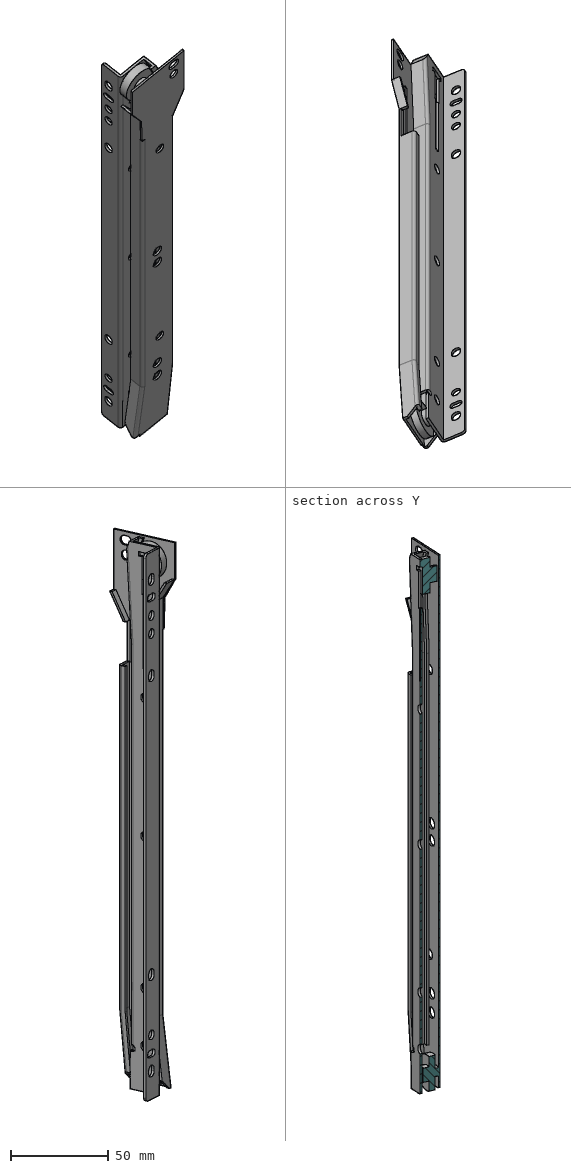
import cadquery as cq

LENGTH = 300.0
SHEET = 1.5
BEND_RADIUS = 1.8
ROLLER_RADIUS = 20.0 / 2
HUB_DIAMETER = 9.0

LEDGE_Y = 2.0
LEDGE_CORNER = 2.0
LEDGE_HOLE_X = 5.0
LEDGE_HOLE_DIAMETER = 5.0
LEDGE_SLOT_LENGTH = 6.3
LEDGE_CROSS_SLOT_LENGTH = 7.0
LEDGE_CROSS_SLOT_WIDTH = 4.0
LEDGE_UPRIGHT_SLOTS_Z = (285.0, 232.2, 68.5, 15.5)
LEDGE_CROSS_SLOTS_Z = (275.0, 25.2)
LEDGE_ROUND_HOLES_Z = (265.2, 255.3, 35.5)

WALL_X = 12.3
WALL_BACK_X = WALL_X + SHEET
WALL_TOP_Y = 20.0
WALL_RAISED_Y = 23.0
RISE_START_Z = 244.0
RISE_END_Z = 294.0
WALL_END_Y = 20.7
WALL_HOLE_Y = 10.8
WALL_HOLE_DIAMETER = 5.5
WALL_HOLES_Z = (216.0, 140.0, 57.0, 25.2)

WEB_START_Z = 24.0
WEB_END_X = 21.0
RAIL_DEPTH = 3.5
RELIEF_DIAMETER = 3.5
RELIEF_Y = 19.0
RELIEF_Z = 22.5

KEY_HEAD_LENGTH = 8.5
KEY_HEAD_HEIGHT = 2.5
KEY_HEAD_Z = 294.3
KEY_NECK_WIDTH = 4.2
KEY_NECK_END_Z = 272.5
GROOVE_END_Z = 232.0
GROOVE_WIDTH = 2.7
GROOVE_DEPTH = 0.5

DRAWER_ROLLER_Y = 11.7
DRAWER_ROLLER_Z = LENGTH - ROLLER_RADIUS
DRAWER_ROLLER_WIDTH = 4.8
DRAWER_HUB_END_X = 22.8

PLATE_BACK_X = 24.5
PLATE_SHEET = 1.2
PLATE_X = PLATE_BACK_X - PLATE_SHEET
PLATE_TOP_Y = 37.8
CABINET_END_Z = 1.0
NEAR_Y = 7.2
FAR_Y = 29.5
FUNNEL_Z = 40.2
NEAR_DROP = 5.0
FAR_DROP = 4.0
NEAR_FLANGE_X = 16.2
FLARE_TOP_Z = 280.0
FLARE_END_Z = 268.5
PLATE_TAPER_END_Z = 251.0
PLATE_TAPER = 0.5
FUNNEL_CUT = 6.5
NEAR_BEND_DEPTH = 2 * SHEET
FAR_FLANGE_X = 15.3
FAR_FLANGE_TOP_Z = 229.5
FAR_LIP_DEPTH = 4.2

TAB_X = 19.8
TAB_TOP_Z = 267.0
TAB_END_Z = 252.0
BEAD_Y = 25.8
BEAD_WIDTH = 2.0
BEAD_HEIGHT = 1.0
BEAD_TOP_Z = 273.0

PLATE_HOLE_Y = 30.3
PLATE_HOLE_Z = 287.0
PLATE_HOLE_DIAMETER = 5.5
PLATE_SLOT_Z = 295.2
PLATE_SLOT_LENGTH = 7.0
PLATE_SLOT_WIDTH = 5.0
RAIL_HOLE_Y = 20.0
RAIL_HOLE_DIAMETER = 5.5
RAIL_HOLES_Z = (232.8, 73.0)
SMALL_HOLE_Y = 18.3
SMALL_HOLE_DIAMETER = 6.0
SMALL_HOLES_Z = (147.0, 137.5, 51.5, 40.8)

CABINET_ROLLER_Y = 13.5
CABINET_ROLLER_Z = ROLLER_RADIUS
CABINET_ROLLER_X = 17.7
CABINET_ROLLER_END_X = 21.5
AXLE_DIAMETER = 6.0
CABINET_HUB_X = 14.0


def plate_yz(points, x_start, x_end):
    """Prism of a (y, z) outline between two X positions."""
    return cq.Workplane("YZ", origin=(x_start, 0, 0)).polyline(points).close().extrude(x_end - x_start)


def strip_yz(path, depth, x_start, x_end):
    """Prism between a (y, z) path and the same path moved by depth along Y."""
    moved = [(y + depth, z) for y, z in reversed(path)]
    return plate_yz(path + moved, x_start, x_end)


def disc(x_start, x_end, y, z, diameter):
    """Cylinder along X."""
    face = cq.Workplane("YZ", origin=(x_start, y, z)).circle(diameter / 2)
    return face.extrude(x_end - x_start)


def box_between(x, y, z):
    """Box from (low, high) pairs along each axis."""
    size = (x[1] - x[0], y[1] - y[0], z[1] - z[0])
    return cq.Workplane().box(*size, centered=False).translate((x[0], y[0], z[0]))


def round_edges(body, x, y, z, radius):
    """Fillet the edges that lie at one X position inside (low, high) ranges of Y and Z."""
    margin = 0.03
    box = cq.selectors.BoxSelector(
        (x - margin, y[0] - margin, z[0] - margin),
        (x + margin, y[1] + margin, z[1] + margin),
        boundingbox=True,
    )
    return body.edges(box).fillet(radius)


def ledge_holes():
    """Cutters for the screw holes and slots of the drawer ledge."""
    def sketch(places):
        return cq.Workplane("XZ").pushPoints([(LEDGE_HOLE_X, z) for z in places])

    depth = -2 * (LEDGE_Y + SHEET)
    upright = sketch(LEDGE_UPRIGHT_SLOTS_Z).slot2D(LEDGE_SLOT_LENGTH, LEDGE_HOLE_DIAMETER, 90).extrude(depth)
    cross = sketch(LEDGE_CROSS_SLOTS_Z).slot2D(LEDGE_CROSS_SLOT_LENGTH, LEDGE_CROSS_SLOT_WIDTH).extrude(depth)
    round_holes = sketch(LEDGE_ROUND_HOLES_Z).circle(LEDGE_HOLE_DIAMETER / 2).extrude(depth)
    return upright.union(cross).union(round_holes)


def keyhole():
    """Cutter for the T-shaped slot and the shallow round groove below it in the drawer wall."""
    through = (WALL_X, WALL_BACK_X)
    head = box_between(
        through,
        (WALL_HOLE_Y - KEY_HEAD_LENGTH / 2, WALL_HOLE_Y + KEY_HEAD_LENGTH / 2),
        (KEY_HEAD_Z - KEY_HEAD_HEIGHT / 2, KEY_HEAD_Z + KEY_HEAD_HEIGHT / 2),
    )
    neck = box_between(
        through,
        (WALL_HOLE_Y - KEY_NECK_WIDTH / 2, WALL_HOLE_Y + KEY_NECK_WIDTH / 2),
        (KEY_NECK_END_Z, KEY_HEAD_Z),
    )
    groove = (
        cq.Workplane("XY", origin=(WALL_X, WALL_HOLE_Y, GROOVE_END_Z))
        .moveTo(0, -GROOVE_WIDTH / 2)
        .threePointArc((GROOVE_DEPTH, 0), (0, GROOVE_WIDTH / 2))
        .close()
        .extrude(KEY_NECK_END_Z - GROOVE_END_Z)
    )
    return head.union(neck).union(groove)


def make_drawer_profile():
    """Ledge, wall, stepped top web with its rail lip, and the rear roller."""
    ledge = box_between((0, WALL_BACK_X), (LEDGE_Y, LEDGE_Y + SHEET), (0, LENGTH))
    ledge = ledge.edges("|Y and <X").fillet(LEDGE_CORNER)

    rise = [(WALL_TOP_Y, RISE_START_Z), (WALL_RAISED_Y, RISE_END_Z)]
    wall_outline = [(LEDGE_Y, 0), (WALL_TOP_Y, 0), *rise, (WALL_END_Y, LENGTH), (LEDGE_Y, LENGTH)]
    wall = plate_yz(wall_outline, WALL_X, WALL_BACK_X)

    web_path = [(WALL_TOP_Y, WEB_START_Z), *rise, (WALL_END_Y, LENGTH)]
    web = strip_yz(web_path, -SHEET, WALL_X, WEB_END_X)
    rail_lip = strip_yz(web_path, -RAIL_DEPTH, WEB_END_X - SHEET, WEB_END_X)

    profile = ledge.union(wall).union(web)
    profile = round_edges(profile, WALL_BACK_X, (LEDGE_Y, LEDGE_Y), (0, LENGTH), BEND_RADIUS)
    web_bend_y = (WALL_TOP_Y, WALL_RAISED_Y)
    profile = round_edges(profile, WALL_X, web_bend_y, (WEB_START_Z, RISE_END_Z), BEND_RADIUS)
    square_foot = box_between((WALL_X, WALL_BACK_X), (LEDGE_Y + SHEET, WALL_TOP_Y), (0, RELIEF_Z))
    profile = profile.union(rail_lip).union(square_foot)
    profile = profile.cut(ledge_holes()).cut(keyhole())
    profile = profile.cut(disc(WALL_X, WALL_BACK_X, RELIEF_Y, RELIEF_Z, RELIEF_DIAMETER))
    for z in WALL_HOLES_Z:
        profile = profile.cut(disc(WALL_X, WALL_BACK_X, WALL_HOLE_Y, z, WALL_HOLE_DIAMETER))

    roller_end_x = WALL_BACK_X + DRAWER_ROLLER_WIDTH
    centre = (DRAWER_ROLLER_Y, DRAWER_ROLLER_Z)
    roller = disc(WALL_BACK_X, roller_end_x, *centre, 2 * ROLLER_RADIUS)
    hub = disc(roller_end_x, DRAWER_HUB_END_X, *centre, HUB_DIAMETER)
    return profile.union(roller).union(hub)


def make_near_flange():
    """Running flange, funnelled at the lower end, rounded into the plate and flared at the top."""
    path = [(NEAR_Y - NEAR_DROP, CABINET_END_Z), (NEAR_Y, FUNNEL_Z), (NEAR_Y, PLATE_TAPER_END_Z)]
    block = strip_yz(path, NEAR_BEND_DEPTH, NEAR_FLANGE_X, PLATE_BACK_X)
    outer_y = (NEAR_Y - NEAR_DROP, NEAR_Y)
    block = round_edges(block, PLATE_BACK_X, outer_y, (CABINET_END_Z, PLATE_TAPER_END_Z), BEND_RADIUS)
    inner_path = [(y + SHEET, z) for y, z in path]
    running = block.cut(strip_yz(inner_path, NEAR_BEND_DEPTH, NEAR_FLANGE_X, PLATE_X))

    flare_path = [(NEAR_Y, PLATE_TAPER_END_Z), (NEAR_Y, FLARE_END_Z), (0, FLARE_TOP_Z)]
    return running.union(strip_yz(flare_path, SHEET, NEAR_FLANGE_X, PLATE_BACK_X))


def make_far_flange():
    """Far flange with a rounded, turned-down lip."""
    path = [(FAR_Y - FAR_DROP, CABINET_END_Z), (FAR_Y, FUNNEL_Z), (FAR_Y, FAR_FLANGE_TOP_Z)]
    block = strip_yz(path, -FAR_LIP_DEPTH, FAR_FLANGE_X, PLATE_BACK_X)
    outer_y = (FAR_Y - FAR_DROP, FAR_Y)
    block = round_edges(block, FAR_FLANGE_X, outer_y, (CABINET_END_Z, FAR_FLANGE_TOP_Z), BEND_RADIUS)
    inner_path = [(y - SHEET, z) for y, z in path]
    return block.cut(strip_yz(inner_path, -FAR_LIP_DEPTH, FAR_FLANGE_X + SHEET, PLATE_X))


def funnel_corner():
    """Cutter that slants off the lower corner of both flanges."""
    corner = [
        (FAR_FLANGE_X, CABINET_END_Z),
        (FAR_FLANGE_X + FUNNEL_CUT, CABINET_END_Z),
        (FAR_FLANGE_X, CABINET_END_Z + FUNNEL_CUT),
    ]
    return cq.Workplane("XZ").polyline(corner).close().extrude(-FAR_Y)


def make_cabinet_profile():
    """Back plate with its two flanges, bent tab, bead and front roller."""
    bend_end_y = NEAR_Y + NEAR_BEND_DEPTH
    outline = [
        (bend_end_y - NEAR_DROP, CABINET_END_Z),
        (bend_end_y, FUNNEL_Z),
        (bend_end_y, PLATE_TAPER_END_Z),
        (NEAR_Y, PLATE_TAPER_END_Z),
        (NEAR_Y - PLATE_TAPER, FLARE_END_Z),
        (0, FLARE_TOP_Z),
        (0, LENGTH),
        (PLATE_TOP_Y, LENGTH),
        (PLATE_TOP_Y, TAB_TOP_Z),
        (FAR_Y, TAB_END_Z),
        (FAR_Y, FUNNEL_Z),
        (FAR_Y - FAR_DROP, CABINET_END_Z),
    ]
    plate = plate_yz(outline, PLATE_X, PLATE_BACK_X)
    tab = strip_yz([(PLATE_TOP_Y, TAB_TOP_Z), (FAR_Y, TAB_END_Z)], -SHEET, TAB_X, PLATE_BACK_X)
    bead = box_between(
        (PLATE_X - BEAD_HEIGHT, PLATE_X),
        (BEAD_Y - BEAD_WIDTH / 2, BEAD_Y + BEAD_WIDTH / 2),
        (FAR_FLANGE_TOP_Z, BEAD_TOP_Z),
    )
    flanges = make_near_flange().union(make_far_flange()).cut(funnel_corner())
    profile = plate.union(tab).union(bead).union(flanges)

    profile = profile.cut(disc(PLATE_X, PLATE_BACK_X, PLATE_HOLE_Y, PLATE_HOLE_Z, PLATE_HOLE_DIAMETER))
    slot = cq.Workplane("YZ", origin=(PLATE_X, PLATE_HOLE_Y, PLATE_SLOT_Z))
    profile = profile.cut(slot.slot2D(PLATE_SLOT_LENGTH, PLATE_SLOT_WIDTH).extrude(PLATE_SHEET))
    for z in RAIL_HOLES_Z:
        profile = profile.cut(disc(PLATE_X, PLATE_BACK_X, RAIL_HOLE_Y, z, RAIL_HOLE_DIAMETER))
    for z in SMALL_HOLES_Z:
        profile = profile.cut(disc(PLATE_X, PLATE_BACK_X, SMALL_HOLE_Y, z, SMALL_HOLE_DIAMETER))

    centre = (CABINET_ROLLER_Y, CABINET_ROLLER_Z)
    roller = disc(CABINET_ROLLER_X, CABINET_ROLLER_END_X, *centre, 2 * ROLLER_RADIUS)
    axle = disc(CABINET_ROLLER_END_X, PLATE_X, *centre, AXLE_DIAMETER)
    hub = disc(CABINET_HUB_X, CABINET_ROLLER_X, *centre, HUB_DIAMETER)
    return profile.union(roller).union(axle).union(hub)


drawer_profile = make_drawer_profile()
cabinet_profile = make_cabinet_profile()
result = cq.Compound.makeCompound([drawer_profile.val(), cabinet_profile.val()])